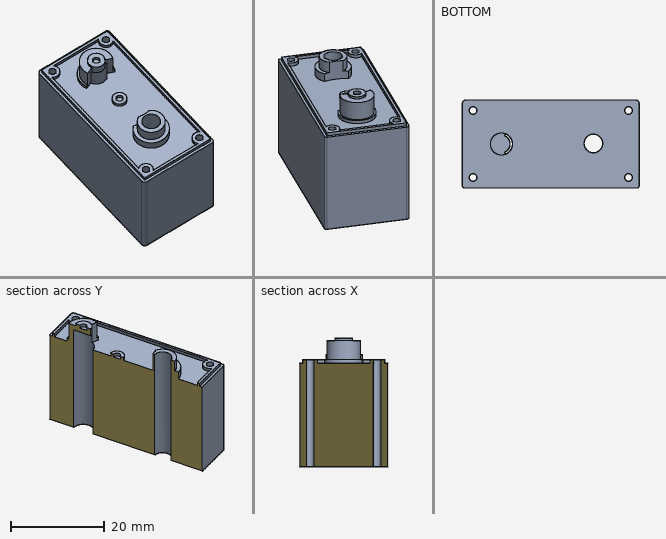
import cadquery as cq
import math

LENGTH = 37.98
WIDTH = 18.9
BODY_HEIGHT = 22.25
FRONT_CORNER_RADIUS = 0.8
BACK_CORNER_RADIUS = 0.5

RIM_LENGTH = 36.73
RIM_WIDTH = 17.65
RIM_WALL = 0.6
RIM_HEIGHT = 0.72
RIM_TOP = BODY_HEIGHT + RIM_HEIGHT

SCREW_X = 16.67
SCREW_Y = 7.18
SMALL_POST_DIAMETER = 3.2
SMALL_HOLE_DIAMETER = 1.6
BEARING_POST_X = -2.2
BEARING_POST_Y = -0.08
BLIND_HOLE_DEPTH = 0.72

TOTAL_HEIGHT = 27.57
TOWER_X = -10.6
TOWER_DIAMETER = 7.3
FLANGE_DIAMETER = 8.2
TOWER_TOP = 27.08
TOWER_HALF_OPENING = 67.0
PIN_DIAMETER = 3.8
PIN_BOTTOM = 25.67
TOWER_BORE_DIAMETER = 4.7

BOSS_X = 9.15
BOSS_Y = -0.1
BOSS_DIAMETER = 6.0
BOSS_TOP = 26.6
BOSS_BASE_DIAMETER = 7.82
BOSS_BASE_TOP = 24.08
BOSS_BORE_DIAMETER = 3.95
SCOOP_DIAMETER = 17.77


def cylinder(diameter, bottom, top, x=0.0, y=0.0):
    """Upright cylinder between two heights."""
    return cq.Workplane("XY", origin=(x, y, bottom)).circle(diameter / 2).extrude(top - bottom)


def block(length, width, bottom, top):
    """Centred rectangular block between two heights."""
    return cq.Workplane("XY", origin=(0, 0, bottom)).rect(length, width).extrude(top - bottom)


def make_case():
    body = block(LENGTH, WIDTH, 0, BODY_HEIGHT)
    body = body.edges("|Z and <Y").fillet(FRONT_CORNER_RADIUS)
    body = body.edges("|Z and >Y").fillet(BACK_CORNER_RADIUS)
    rim = block(RIM_LENGTH, RIM_WIDTH, BODY_HEIGHT, RIM_TOP)
    recess = block(RIM_LENGTH - 2 * RIM_WALL, RIM_WIDTH - 2 * RIM_WALL, BODY_HEIGHT, RIM_TOP)
    return body.union(rim.cut(recess))


def add_screw_posts(case):
    for side_x in (-1, 1):
        for side_y in (-1, 1):
            x = side_x * SCREW_X
            y = side_y * SCREW_Y
            post = cylinder(SMALL_POST_DIAMETER, BODY_HEIGHT, RIM_TOP, x, y)
            fill_length = RIM_LENGTH / 2 - SCREW_X
            fill_width = RIM_WIDTH / 2 - SCREW_Y
            fill = block(fill_length, fill_width, BODY_HEIGHT, RIM_TOP)
            fill = fill.translate((x + side_x * fill_length / 2, y + side_y * fill_width / 2, 0))
            hole = cylinder(SMALL_HOLE_DIAMETER, 0, RIM_TOP, x, y)
            case = case.union(post).union(fill).cut(hole)
    return case


def add_bearing_post(case):
    post = cylinder(SMALL_POST_DIAMETER, BODY_HEIGHT, RIM_TOP, BEARING_POST_X, BEARING_POST_Y)
    hole = cylinder(SMALL_HOLE_DIAMETER, RIM_TOP - BLIND_HOLE_DEPTH, RIM_TOP, BEARING_POST_X, BEARING_POST_Y)
    return case.union(post).cut(hole)


def add_tower(case):
    tower = cylinder(TOWER_DIAMETER, BODY_HEIGHT, TOWER_TOP, TOWER_X)
    flange = cylinder(FLANGE_DIAMETER, BODY_HEIGHT, RIM_TOP, TOWER_X)

    reach = FLANGE_DIAMETER
    angle = math.radians(TOWER_HALF_OPENING)
    side_x = reach * math.cos(angle)
    side_y = reach * math.sin(angle)
    opening = cq.Workplane("XY", origin=(TOWER_X, 0, BODY_HEIGHT))
    outline = [(0, 0), (side_x, -side_y), (reach, -side_y), (reach, side_y), (side_x, side_y)]
    opening = opening.polyline(outline).close().extrude(TOWER_TOP - BODY_HEIGHT)

    bore = cylinder(TOWER_BORE_DIAMETER, 0, PIN_BOTTOM, TOWER_X)
    pin = cylinder(PIN_DIAMETER, PIN_BOTTOM, TOTAL_HEIGHT, TOWER_X)
    pin_hole = cylinder(SMALL_HOLE_DIAMETER, TOTAL_HEIGHT - BLIND_HOLE_DEPTH, TOTAL_HEIGHT, TOWER_X)
    return case.union(tower.union(flange).cut(opening)).cut(bore).union(pin).cut(pin_hole)


def add_boss(case):
    base = cylinder(BOSS_BASE_DIAMETER, BODY_HEIGHT, BOSS_BASE_TOP, BOSS_X, BOSS_Y)
    boss = cylinder(BOSS_DIAMETER, BODY_HEIGHT, BOSS_TOP, BOSS_X, BOSS_Y)
    scoop = cylinder(SCOOP_DIAMETER, BODY_HEIGHT, BOSS_TOP, BEARING_POST_X, BEARING_POST_Y)
    bore = cylinder(BOSS_BORE_DIAMETER, 0, BOSS_TOP, BOSS_X, BOSS_Y)
    return case.union(base.union(boss).cut(scoop)).cut(bore)


result = make_case()
result = add_screw_posts(result)
result = add_bearing_post(result)
result = add_tower(result)
result = add_boss(result)